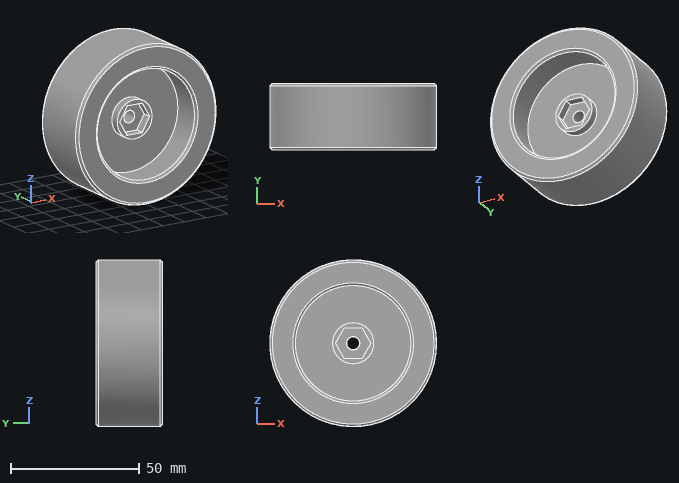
import cadquery as cq
import math

wheel_diameter = 65.0
wheel_width = 26.0
edge_chamfer = 1.0

recess_diameter = 45.0
recess_depth = 13.0

hub_diameter = 16.0
hub_height = 4.0

hex_sides = 6
hex_across_flats = 12.0
hex_depth = 4.0
bore_diameter = 5.0

front_y = -wheel_width / 2
floor_y = front_y + recess_depth
hub_face_y = floor_y - hub_height


def plane_at(y):
    """Sketch plane at y on the wheel axis, with its normal along +Y."""
    return cq.Workplane(cq.Plane(origin=(0, y, 0), xDir=(1, 0, 0), normal=(0, 1, 0)))


def cylinder(y, diameter, length):
    """Cylinder on the wheel axis, running from y towards +Y."""
    return plane_at(y).circle(diameter / 2).extrude(length)


def make_rim():
    """Wheel body with both outer edges chamfered."""
    return cylinder(front_y, wheel_diameter, wheel_width).edges("%CIRCLE").chamfer(edge_chamfer)


def make_recess():
    """Recess cutter, flared at its mouth to chamfer the inner edge."""
    recess_radius = recess_diameter / 2
    pocket = cylinder(front_y, recess_diameter, recess_depth)
    flare = cq.Solid.makeCone(
        recess_radius + edge_chamfer,
        recess_radius,
        edge_chamfer,
        pnt=cq.Vector(0, front_y, 0),
        dir=cq.Vector(0, 1, 0),
    )
    return pocket.union(cq.Workplane(flare))


def make_hex_socket():
    """Hexagonal cutter with two corners on the X axis."""
    across_corners = hex_across_flats / math.cos(math.pi / hex_sides)
    return plane_at(hub_face_y).polygon(hex_sides, across_corners).extrude(hex_depth)


result = make_rim().cut(make_recess())
result = result.union(cylinder(hub_face_y, hub_diameter, hub_height))
result = result.cut(make_hex_socket())
result = result.cut(cylinder(front_y, bore_diameter, wheel_width))